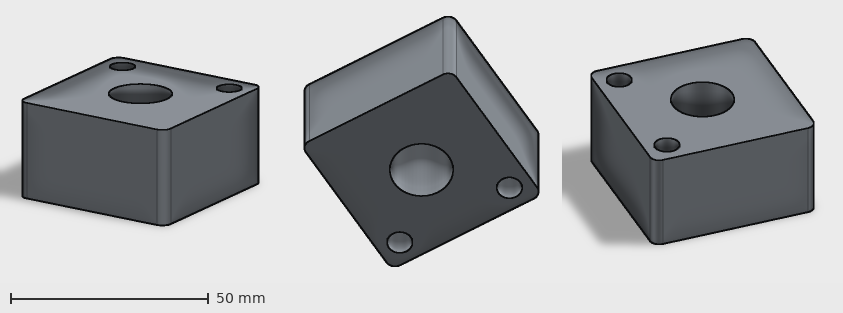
import cadquery as cq

side = 44.5
height = 25.4
corner_radius = 2.5

bore_diameter = 16.0
bolt_hole_diameter = 6.4
bolt_hole_offset = 16.2

block = cq.Workplane("XY").box(side, side, height).edges("|Z").fillet(corner_radius)

bored_block = block.faces(">Z").workplane().hole(bore_diameter)

bolt_hole_centres = [(x_sign * bolt_hole_offset, bolt_hole_offset) for x_sign in (-1, 1)]
result = (
    bored_block.faces(">Z")
    .workplane(origin=(0, 0, 0))
    .pushPoints(bolt_hole_centres)
    .hole(bolt_hole_diameter)
)